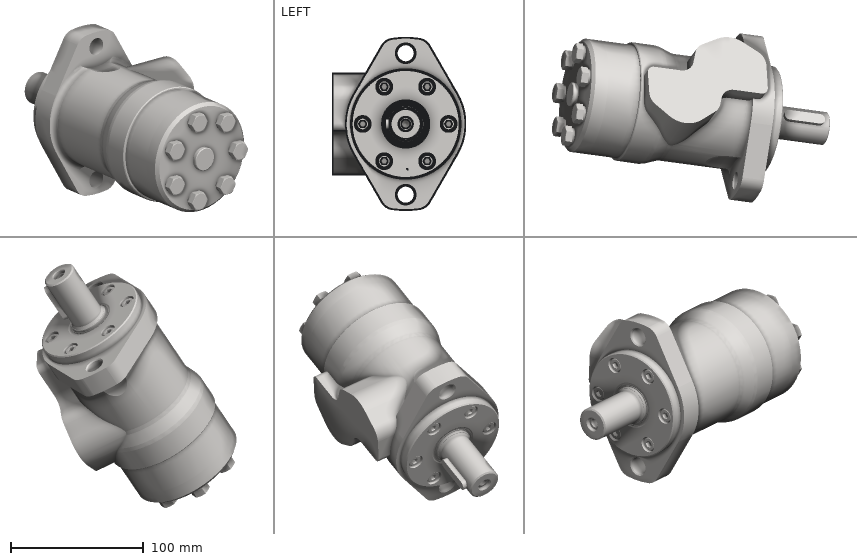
import cadquery as cq
import math


SHOULDER_X = 42.7
COVER_X = 46.2
FLANGE_X = 54.2
FLANGE_BACK_X = 71.1
PLATE_X = 159.7
RING_X = 164.0
END_COVER_X = 184.8
END_COVER_BACK_X = 197.3
MOTOR_LENGTH = 204.5

SHAFT_DIA = 25.0
SHAFT_CHAMFER_LENGTH = 0.8
SHAFT_CHAMFER_DEPTH = 1.2
SHOULDER_DIA = 29.0
SHOULDER_CONE_DIA = 27.8
SHOULDER_CHAMFER = 0.5
COLLAR_DIA = 30.3
SHOULDER_CONE_LENGTH = 1.6
CENTRE_SINK_DIA = 11.0
CENTRE_BORE_DIA = 10.0
CENTRE_BORE_DEPTH = 3.0
CENTRE_DRILL_DIA = 6.7
CENTRE_DRILL_DEPTH = 16.4
DRILL_TIP_ANGLE = 118.0
KEY_X = 5.1
KEY_LENGTH = 31.9
KEY_WIDTH = 8.0
KEY_TOP_Y = 15.5

PILOT_DIA = 82.5
PILOT_CHAMFER = 0.8
SEAL_RECESS_DIA = 32.5
SEAL_RECESS_DEPTH = 1.0
SEAL_STEP_DIA = 34.0
SEAL_STEP_DEPTH = 0.5
SEAL_MOUTH_DIA = 35.8
COLLAR_X = COVER_X + SEAL_STEP_DEPTH
SCREW_COUNT = 6
SCREW_CIRCLE_RADIUS = 32.3
SCREW_BORE_DIA = 12.0
SCREW_BORE_DEPTH = 3.3
SCREW_HEAD_DIA = 10.0
SCREW_HEAD_RECESS = 1.0
SCREW_HEAD_CHAMFER = 0.5
SCREW_HEX_FLATS = 5.0
SCREW_HEX_DEPTH = 3.3

FLANGE_HALF_WIDTH = 45.0
FLANGE_HEIGHT = 129.8
FLANGE_SIDE_ANGLE = 30.0
FLANGE_CORNER_RADIUS = 11.2
MOUNT_HOLE_DIA = 13.3
MOUNT_HOLE_Z = 53.2
MOUNT_HOLE_CHAMFER = 0.8

BARREL_RADIUS = 40.5
BARREL_FILLET = 4.0
BULGE_RADIUS = FLANGE_HALF_WIDTH
BULGE_START_X = 127.4
BULGE_FULL_X = 139.6
BULGE_BLEND_RADIUS = 9.5
BULGE_CHAMFER = 0.6

SCALLOP_RADIUS = 30.0
SCALLOP_AXIS_Z = 67.0
SCALLOP_END_X = 80.1

BOSS_TOP_Y = 55.0
BOSS_CORNERS = [
    (64.4, 25.8, 12.3),
    (92.6, 40.9, 21.0),
    (119.0, 26.8, 10.6),
    (123.0, 5.1, 10.0),
    (157.8, 5.1, 5.1),
    (156.0, -22.5, 12.3),
    (127.8, -43.5, 21.0),
    (101.2, -22.9, 12.3),
    (97.7, -5.1, 10.0),
    (62.5, -5.1, 5.1),
]

GEAR_DIA = 86.0
END_CHAMFER = 2.5
PLUG_DIA = 18.0
PLUG_NECK_DIA = 17.0
PLUG_NECK_LENGTH = 0.8
PLUG_HEIGHT = 4.3
PLUG_CHAMFER = 0.51
BOLT_COUNT = 7
BOLT_CIRCLE_RADIUS = 32.0
BOLT_FLATS = 13.0
BOLT_WASHER_DIA = 12.7
BOLT_WASHER_THICKNESS = 1.6
BOLT_CHAMFER_LENGTH = 0.5
BOLT_CHAMFER_DEPTH = 1.2


def rod(diameter, x_start, x_end, y=0, z=0):
    """Cylinder parallel to X."""
    return cq.Workplane("YZ", origin=(x_start, y, z)).circle(diameter / 2).extrude(x_end - x_start)


def corners_dia(flats):
    """Width across the corners of a hexagon, from its width across the flats."""
    return flats / math.cos(math.pi / 6)


def hex_rod(flats, x_start, x_end, y, z):
    """Hexagonal prism parallel to X, with corners towards +Y and -Y."""
    return cq.Workplane("YZ", origin=(x_start, y, z)).polygon(6, corners_dia(flats)).extrude(x_end - x_start)


def turned(profile):
    """Solid of revolution about X from (x, radius) points."""
    return cq.Workplane("XY").polyline(profile).close().revolve(360, (0, 0, 0), (1, 0, 0))


def circle_places(count, radius):
    """(y, z) places spaced evenly on a circle about X, the first on +Y."""
    angles = [2 * math.pi * i / count for i in range(count)]
    return [(radius * math.cos(a), radius * math.sin(a)) for a in angles]


def rounded_prism(corners, y_start, y_end):
    """Prism along Y from (x, z, radius) corners, each rounded with its own radius."""
    outline = cq.Workplane("XZ", origin=(0, y_start, 0)).polyline([(x, z) for x, z, _ in corners]).close()
    prism = outline.extrude(y_start - y_end)
    for x, z, radius in corners:
        nearest = cq.selectors.NearestToPointSelector((x, (y_start + y_end) / 2, z))
        prism = prism.edges("|Y").edges(nearest).fillet(radius)
    return prism


def make_shaft():
    radius = SHAFT_DIA / 2
    cone_end_x = SHOULDER_X + SHOULDER_CONE_LENGTH
    shaft = turned([
        (0, 0),
        (0, radius - SHAFT_CHAMFER_DEPTH),
        (SHAFT_CHAMFER_LENGTH, radius),
        (SHOULDER_X, radius),
        (cone_end_x, SHOULDER_CONE_DIA / 2),
        (cone_end_x, SHOULDER_DIA / 2 - SHOULDER_CHAMFER),
        (cone_end_x + SHOULDER_CHAMFER, SHOULDER_DIA / 2),
        (COLLAR_X, SHOULDER_DIA / 2),
        (COLLAR_X, COLLAR_DIA / 2),
        (FLANGE_X, COLLAR_DIA / 2),
        (FLANGE_X, 0),
    ])
    sink_depth = (CENTRE_SINK_DIA - CENTRE_BORE_DIA) / 2
    tip_length = CENTRE_DRILL_DIA / 2 / math.tan(math.radians(DRILL_TIP_ANGLE / 2))
    centre_hole = turned([
        (0, 0),
        (0, CENTRE_SINK_DIA / 2),
        (sink_depth, CENTRE_BORE_DIA / 2),
        (CENTRE_BORE_DEPTH, CENTRE_BORE_DIA / 2),
        (CENTRE_BORE_DEPTH, CENTRE_DRILL_DIA / 2),
        (CENTRE_DRILL_DEPTH, CENTRE_DRILL_DIA / 2),
        (CENTRE_DRILL_DEPTH + tip_length, 0),
    ])
    key = (
        cq.Workplane("XZ")
        .center(KEY_X + KEY_LENGTH / 2, 0)
        .slot2D(KEY_LENGTH, KEY_WIDTH)
        .extrude(-KEY_TOP_Y)
    )
    return shaft.union(key).cut(centre_hole)


def cut_screw(cover, y, z):
    """Counterbore with a recessed socket-head screw in it."""
    head_x = COVER_X + SCREW_HEAD_RECESS
    bore_end_x = COVER_X + SCREW_BORE_DEPTH
    bore = rod(SCREW_BORE_DIA, COVER_X, bore_end_x, y, z)
    head = rod(SCREW_HEAD_DIA, head_x, bore_end_x, y, z).faces("<X").chamfer(SCREW_HEAD_CHAMFER)
    socket = hex_rod(SCREW_HEX_FLATS, head_x, head_x + SCREW_HEX_DEPTH, y, z)
    return cover.cut(bore).union(head).cut(socket)


def make_front_cover():
    cover = rod(PILOT_DIA, COVER_X, FLANGE_X).faces("<X").chamfer(PILOT_CHAMFER)
    recess = turned([
        (COVER_X, 0),
        (COVER_X, SEAL_MOUTH_DIA / 2),
        (COLLAR_X, SEAL_STEP_DIA / 2),
        (COLLAR_X, SEAL_RECESS_DIA / 2),
        (COVER_X + SEAL_RECESS_DEPTH, SEAL_RECESS_DIA / 2),
        (COVER_X + SEAL_RECESS_DEPTH, 0),
    ])
    cover = cover.cut(recess).cut(rod(COLLAR_DIA, COVER_X, FLANGE_X))
    for y, z in circle_places(SCREW_COUNT, SCREW_CIRCLE_RADIUS):
        cover = cut_screw(cover, y, z)
    return cover


def make_flange():
    """Rhombus with rounded sides, its top and bottom trimmed by a circle about the axis."""
    thickness = FLANGE_BACK_X - FLANGE_X
    side_y = FLANGE_HALF_WIDTH / math.cos(math.radians(FLANGE_SIDE_ANGLE))
    tip_z = FLANGE_HALF_WIDTH / math.sin(math.radians(FLANGE_SIDE_ANGLE))
    flange = (
        cq.Workplane("YZ", origin=(FLANGE_X, 0, 0))
        .polyline([(side_y, 0), (0, tip_z), (-side_y, 0), (0, -tip_z)])
        .close()
        .extrude(thickness)
    )
    flange = flange.edges("|X and (<Y or >Y)").fillet(FLANGE_HALF_WIDTH)
    flange = flange.intersect(rod(FLANGE_HEIGHT, FLANGE_X, FLANGE_BACK_X))
    upper_zone = cq.selectors.BoxSelector(
        (FLANGE_X, -FLANGE_HALF_WIDTH, FLANGE_HALF_WIDTH),
        (FLANGE_BACK_X, FLANGE_HALF_WIDTH, FLANGE_HEIGHT / 2),
    )
    lower_zone = cq.selectors.BoxSelector(
        (FLANGE_X, -FLANGE_HALF_WIDTH, -FLANGE_HALF_WIDTH),
        (FLANGE_BACK_X, FLANGE_HALF_WIDTH, -FLANGE_HEIGHT / 2),
    )
    return flange.edges("|X").edges(upper_zone + lower_zone).fillet(FLANGE_CORNER_RADIUS)


def make_barrel():
    neck_radius = BARREL_RADIUS + BARREL_FILLET
    neck_end_x = FLANGE_BACK_X + BARREL_FILLET
    arc_step = BARREL_FILLET * (1 - math.sqrt(0.5))
    barrel = (
        cq.Workplane("XY")
        .moveTo(FLANGE_X, 0)
        .lineTo(FLANGE_X, neck_radius)
        .lineTo(FLANGE_BACK_X, neck_radius)
        .threePointArc((FLANGE_BACK_X + arc_step, BARREL_RADIUS + arc_step), (neck_end_x, BARREL_RADIUS))
        .lineTo(BULGE_START_X, BARREL_RADIUS)
        .lineTo(BULGE_FULL_X, BULGE_RADIUS)
        .lineTo(PLATE_X - BULGE_CHAMFER, BULGE_RADIUS)
        .lineTo(PLATE_X, BULGE_RADIUS - BULGE_CHAMFER)
        .lineTo(PLATE_X, 0)
        .close()
        .revolve(360, (0, 0, 0), (1, 0, 0))
    )
    slope_ends = cq.selectors.BoxSelector(
        (BULGE_START_X - BARREL_FILLET, -BARREL_FILLET, -BARREL_FILLET),
        (BULGE_FULL_X + BARREL_FILLET, BARREL_FILLET, BARREL_FILLET),
    )
    return barrel.edges("%CIRCLE").edges(slope_ends).fillet(BULGE_BLEND_RADIUS)


def make_port_boss():
    """Boss with an upper lobe near the flange and a lower lobe near the plate."""
    return rounded_prism(BOSS_CORNERS, 0, BOSS_TOP_Y)


def make_scallop(side):
    """Round-nosed cutter along X, above or below the barrel, reaching back from the flange."""
    nose_step = SCALLOP_RADIUS * math.sqrt(0.5)
    cutter = (
        cq.Workplane("XY")
        .moveTo(FLANGE_BACK_X, 0)
        .lineTo(FLANGE_BACK_X, SCALLOP_RADIUS)
        .lineTo(SCALLOP_END_X, SCALLOP_RADIUS)
        .threePointArc((SCALLOP_END_X + nose_step, nose_step), (SCALLOP_END_X + SCALLOP_RADIUS, 0))
        .close()
        .revolve(360, (0, 0, 0), (1, 0, 0))
    )
    return cutter.translate((0, 0, side * SCALLOP_AXIS_Z))


def make_mount_hole(side):
    z = side * MOUNT_HOLE_Z
    radius = MOUNT_HOLE_DIA / 2
    hole = turned([
        (FLANGE_X, 0),
        (FLANGE_X, radius + MOUNT_HOLE_CHAMFER),
        (FLANGE_X + MOUNT_HOLE_CHAMFER, radius),
        (FLANGE_BACK_X, radius),
        (FLANGE_BACK_X, 0),
    ])
    return hole.translate((0, 0, z))


def make_housing():
    barrel = make_barrel()
    for side in (1, -1):
        barrel = barrel.cut(make_scallop(side))
    housing = make_flange().union(barrel).union(make_port_boss())
    for side in (1, -1):
        housing = housing.cut(make_mount_hole(side))
    return housing


def make_plate():
    return rod(GEAR_DIA, PLATE_X, RING_X)


def make_gear_ring():
    return rod(GEAR_DIA, RING_X, END_COVER_X)


def make_bolt(y, z):
    head_x = END_COVER_BACK_X + BOLT_WASHER_THICKNESS
    crown = (
        rod(corners_dia(BOLT_FLATS), head_x, MOTOR_LENGTH, y, z)
        .faces(">X")
        .edges()
        .chamfer(BOLT_CHAMFER_LENGTH, BOLT_CHAMFER_DEPTH)
    )
    head = hex_rod(BOLT_FLATS, head_x, MOTOR_LENGTH, y, z).intersect(crown)
    return head.union(rod(BOLT_WASHER_DIA, END_COVER_BACK_X, head_x, y, z))


def make_end_cover():
    cover = rod(GEAR_DIA, END_COVER_X, END_COVER_BACK_X).faces(">X").chamfer(END_CHAMFER)
    neck_end_x = END_COVER_BACK_X + PLUG_NECK_LENGTH
    neck = rod(PLUG_NECK_DIA, END_COVER_BACK_X, neck_end_x)
    plug = rod(PLUG_DIA, neck_end_x, END_COVER_BACK_X + PLUG_HEIGHT).faces(">X").chamfer(PLUG_CHAMFER)
    cover = cover.union(neck).union(plug)
    for y, z in circle_places(BOLT_COUNT, BOLT_CIRCLE_RADIUS):
        cover = cover.union(make_bolt(y, z))
    return cover


shaft = make_shaft()
front_cover = make_front_cover()
housing = make_housing()
plate = make_plate()
gear_ring = make_gear_ring()
end_cover = make_end_cover()

result = cq.Compound.makeCompound([
    shaft.solids().val(),
    front_cover.solids().val(),
    housing.solids().val(),
    plate.solids().val(),
    gear_ring.solids().val(),
    end_cover.solids().val(),
])